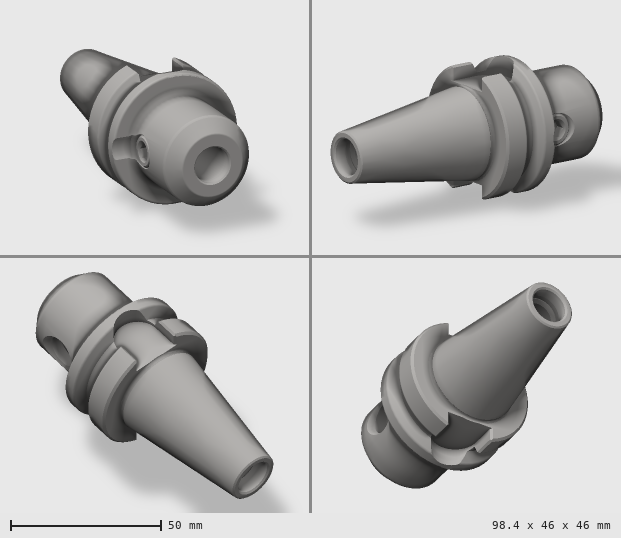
import cadquery as cq
import math

length = 98.4
gauge_x = 48.4
flange_start = 50.1
flange_end = 70.3

gauge_radius = 31.8 / 2
taper_ratio = 7 / 24
tip_chamfer = 0.5
relief_radius = 31.1 / 2
relief_start = gauge_x + 0.4
relief_fillet = 0.9

flange_radius = 46.0 / 2
groove_radius = 19.1
groove_floor_start = 60.5
groove_floor_end = 63.6
groove_slope = math.radians(60)
groove_edge_fillet = 1.0
flange_front_chamfer = 0.8
flange_rear_fillet = 0.8

nose_radius = 31.8 / 2
nose_root_fillet = 2.0
nose_chamfer = 4.8
nose_chamfer_blend = 1.6
nose_tip_fillet = 0.8

mouth_radius = 13.7 / 2
shank_bore_radius = 12.5 / 2
thread_radius = 10.3 / 2
shank_bore_depth = 4.6
undercut_radius = 13.1 / 2
undercut_width = 2.0
tool_radius = 12.7 / 2
tool_depth = 44.3

slot_half_width = 8.1
slot_floor = 16.1
slot_end = 67.8
slot_chamfer = 0.7

screw_x = 76.3
screw_radius = 11.1 / 2
screw_face_radius = 9.7 / 2
screw_outer_y = -15.2
screw_inner_y = -6.9
sink_max_radius = 14.3 / 2
sink_reach = 9.1
socket_flats = 5.5
socket_mouth_radius = 3.7
socket_depth = 3.9
socket_cone_depth = 1.8

recess_x = 82.2
recess_mouth_radius = 7.6
recess_radius = screw_radius
recess_depth = 5.9


def revolved(points):
    """Turn an (x, radius) outline about the X axis."""
    return cq.Workplane("XY").polyline(points).close().revolve(360, (0, 0, 0), (1, 0, 0))


def revolved_about_y(x, points):
    """Turn a (radius, y) outline about the line parallel to Y at the given x."""
    outline = [(x + radius, y) for radius, y in points]
    return cq.Workplane("XY").polyline(outline).close().revolve(360, (x, 0, 0), (x, 1, 0))


def make_turned_body():
    tip_radius = gauge_radius - gauge_x * taper_ratio / 2
    groove_run = (flange_radius - groove_radius) / math.tan(groove_slope)
    blank = revolved([
        (0, 0),
        (0, tip_radius - tip_chamfer),
        (tip_chamfer, tip_radius + tip_chamfer * taper_ratio / 2),
        (gauge_x, gauge_radius),
        (relief_start, relief_radius),
        (flange_start, relief_radius),
        (flange_start, flange_radius - flange_front_chamfer),
        (flange_start + flange_front_chamfer, flange_radius),
        (groove_floor_start - groove_run, flange_radius),
        (groove_floor_start, groove_radius),
        (groove_floor_end, groove_radius),
        (groove_floor_end + groove_run, flange_radius),
        (flange_end, flange_radius),
        (flange_end, nose_radius),
        (length - nose_chamfer, nose_radius),
        (length, nose_radius - nose_chamfer),
        (length, 0),
    ])
    blank = fillet_ring(blank, flange_start, relief_radius, relief_fillet)
    for edge_x in (groove_floor_start - groove_run, groove_floor_end + groove_run):
        blank = fillet_ring(blank, edge_x, flange_radius, groove_edge_fillet)
    blank = fillet_ring(blank, flange_end, flange_radius, flange_rear_fillet)
    blank = fillet_ring(blank, flange_end, nose_radius, nose_root_fillet)
    blank = fillet_ring(blank, length - nose_chamfer, nose_radius, nose_chamfer_blend)
    return fillet_ring(blank, length, nose_radius - nose_chamfer, nose_tip_fillet)


def fillet_ring(body, x, radius, fillet):
    """Fillet the circular edge of the given radius centred on the axis at x."""
    margin = 0.1
    low = (x - margin, -radius - margin, -radius - margin)
    high = (x + margin, radius + margin, radius + margin)
    inside = (radius - margin) * 2 * math.pi
    rings = [
        edge for edge in body.edges(cq.selectors.BoxSelector(low, high, boundingbox=True)).vals()
        if edge.Length() > inside
    ]
    return body.newObject(rings).fillet(fillet)


def make_axial_bores():
    mouth_chamfer = mouth_radius - shank_bore_radius
    undercut_end = shank_bore_depth + undercut_width
    step = shank_bore_radius - thread_radius
    nose_mouth = mouth_radius - tool_radius
    return revolved([
        (0, 0),
        (0, mouth_radius),
        (mouth_chamfer, shank_bore_radius),
        (shank_bore_depth, shank_bore_radius),
        (shank_bore_depth, undercut_radius),
        (undercut_end, undercut_radius),
        (undercut_end, shank_bore_radius),
        (undercut_end + step, thread_radius),
        (length - tool_depth, thread_radius),
        (length - tool_depth, tool_radius),
        (length - nose_mouth, tool_radius),
        (length, mouth_radius),
        (length, 0),
    ])


def make_drive_slot():
    """Round-ended slot on the +Z side, with chamfered front and outer edges."""
    mouth_half_width = slot_half_width + slot_chamfer
    arc_x = slot_end - slot_half_width
    slot = (
        cq.Workplane("XY", origin=(0, 0, slot_floor))
        .moveTo(flange_start, -mouth_half_width)
        .lineTo(flange_start + slot_chamfer, -slot_half_width)
        .lineTo(arc_x, -slot_half_width)
        .threePointArc((slot_end, 0), (arc_x, slot_half_width))
        .lineTo(flange_start + slot_chamfer, slot_half_width)
        .lineTo(flange_start, mouth_half_width)
        .close()
        .extrude(flange_radius - slot_floor)
    )
    edge_z = math.sqrt(flange_radius**2 - mouth_half_width**2)
    outer_chamfers = (
        cq.Workplane("YZ", origin=(flange_start, 0, 0))
        .moveTo(-slot_half_width, edge_z - slot_chamfer)
        .lineTo(slot_half_width, edge_z - slot_chamfer)
        .lineTo(mouth_half_width, edge_z)
        .lineTo(mouth_half_width, flange_radius)
        .lineTo(-mouth_half_width, flange_radius)
        .lineTo(-mouth_half_width, edge_z)
        .close()
        .extrude(groove_floor_start - flange_start)
    )
    return slot.union(outer_chamfers)


def make_screw_hole():
    """Screw hole from the tool bore outward, opening in a 45 degree countersink.

    Outside the countersink it widens no further, and clears the flange.
    """
    sink_start_y = -(sink_reach + screw_radius)
    sink_end_y = -(sink_reach + sink_max_radius)
    return revolved_about_y(screw_x, [
        (0, 0),
        (screw_radius, 0),
        (screw_radius, sink_start_y),
        (sink_max_radius, sink_end_y),
        (sink_max_radius, -flange_radius),
        (0, -flange_radius),
    ])


def make_recess():
    outer_y = nose_radius + 1
    sink_end_y = nose_radius - (recess_mouth_radius - recess_radius)
    floor_y = nose_radius - recess_depth
    return revolved_about_y(recess_x, [
        (0, floor_y),
        (recess_radius, floor_y),
        (recess_radius, sink_end_y),
        (recess_mouth_radius + 1, outer_y),
        (0, outer_y),
    ])


def make_holder():
    body = make_turned_body().cut(make_axial_bores())
    for angle in (0, 180):
        body = body.cut(make_drive_slot().rotate((0, 0, 0), (1, 0, 0), angle))
    return body.cut(make_screw_hole()).cut(make_recess())


def make_screw():
    """Set screw with a chamfered outer end and a hexagon socket."""
    face_chamfer = screw_radius - screw_face_radius
    blank = revolved_about_y(screw_x, [
        (0, screw_inner_y),
        (screw_radius, screw_inner_y),
        (screw_radius, screw_outer_y + face_chamfer),
        (screw_face_radius, screw_outer_y),
        (0, screw_outer_y),
    ])
    corner_diameter = socket_flats / math.cos(math.radians(30))
    hexagon = (
        cq.Workplane("XZ", origin=(screw_x, screw_outer_y, 0))
        .polygon(6, corner_diameter)
        .extrude(-socket_depth)
    )
    mouth = revolved_about_y(screw_x, [
        (0, screw_outer_y),
        (socket_mouth_radius, screw_outer_y),
        (0, screw_outer_y + socket_mouth_radius),
    ])
    floor_y = screw_outer_y + socket_depth
    drill_point = revolved_about_y(screw_x, [
        (0, floor_y),
        (socket_flats / 2, floor_y),
        (0, floor_y + socket_cone_depth),
    ])
    return blank.cut(hexagon).cut(mouth).cut(drill_point)


holder = make_holder()
screw = make_screw()
result = cq.Compound.makeCompound([holder.val(), screw.val()])